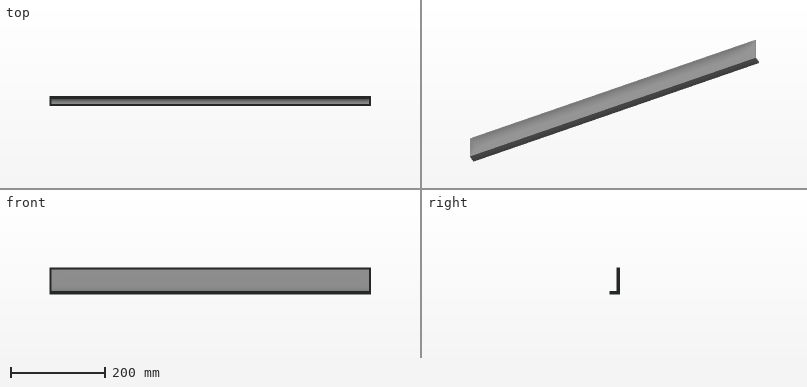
import cadquery as cq

length = 680.0
flange_width = 18.0
web_height = 53.0
thickness = 3.0

half_width = flange_width / 2
half_height = web_height / 2
web_front = half_width - thickness
flange_top = thickness - half_height

section = [
    (-half_width, -half_height),
    (half_width, -half_height),
    (half_width, half_height),
    (web_front, half_height),
    (web_front, flange_top),
    (-half_width, flange_top),
]

result = cq.Workplane("YZ").polyline(section).close().extrude(length / 2, both=True)